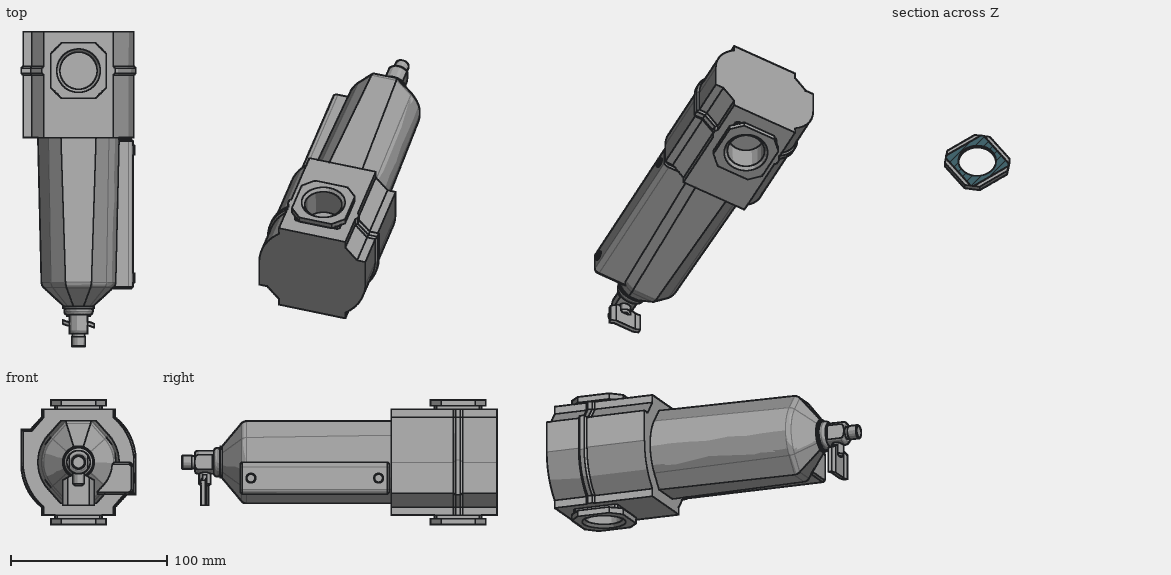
import cadquery as cq
import math


HEAD_LENGTH = 67.8
HEAD_HALF_HEIGHT = 34.0
BLOCK_HALF_WIDTH = 22.2
SHOULDER_Z = 28.9
EAR_HALF_WIDTH = 35.5
EAR_INNER_X = 30.0
EAR_Z = 19.8

BAND_RISE = 1.2
BAND_BASE_WIDTH = 5.9
BAND_TOP_WIDTH = 3.0
BAND_ARC_DROP = 1.5

PORT_Y = 42.8
PORT_TOP_Z = 40.0
FLANGE_WIDTH = 35.5
FLANGE_THICKNESS = 3.8
FLANGE_CORNER = 6.9
NECK_WIDTH = 30.3
NECK_CORNER = 1.5
BORE_RADIUS = 12.0
BORE_DEPTH = 20.2
BORE_CHAMFER = 2.0

BOWL_HALF_HEIGHT = 26.5
BOWL_TOP_RADIUS = 26.0
BOWL_LOW_RADIUS = 23.8
FACET_ANGLE = 42.0
SHELL_END_Y = -94.7
CONE_END_Y = -108.2
CONE_END_HALF_HEIGHT = 10.3
CORNER_FILLET = 4.6
RIM_TOLERANCE = 0.2
LIP_RADIUS = 10.0
LIP_LENGTH = 1.2
BOWL_END_Y = CONE_END_Y - LIP_LENGTH

GAUGE_ROOT_X = 8.0
GAUGE_OUTER_X = 35.0
GAUGE_START_Y = -1.2
GAUGE_LENGTH = 95.5
GAUGE_HEIGHT = 20.4
GAUGE_CORNER_FILLET = 3.0
GAUGE_END_CHAMFER = 1.2
SCREW_RADIUS = 3.0
SCREW_HEIGHT = 1.2
SCREW_CHAMFER = 0.5
SCREW_INSET = 6.9

GROOVE_RADIUS = 8.3
GROOVE_LENGTH = 0.5
RING_RADIUS = 9.3
RING_STRAIGHT = 1.5
RING_LENGTH = 3.8
BARREL_RADIUS = 7.5
BARREL_END_Y = -125.8
BARREL_FILLET = 2.0
FLAT_DISTANCE = 5.9
FLAT_START_Y = -114.5
STEM_RADIUS = 4.0
NOZZLE_RADIUS = 4.5
NOZZLE_START_Y = -127.5
NOZZLE_CHAMFER = 0.6
TOTAL_LENGTH = 202.0
TIP_Y = HEAD_LENGTH - TOTAL_LENGTH

LEVER_Y = -119.3
PEG_RADIUS = 3.8
PEG_BOTTOM_Z = -15.1
PEG_CHAMFER = 1.5
PLATE_THICKNESS = 2.6
PLATE_HALF_WIDTH = 10.0
PLATE_BEND_X = 6.9
WING_SHIFT = 1.2
PLATE_BOTTOM_Z = -27.7
PLATE_CORNER_Z = -11.5
PLATE_SHOULDER_X = 4.0
PLATE_SHOULDER_Z = -8.0


def xz_plane(y):
    """Plane across the bowl axis at y: local x is X, local y is Z, extrusion goes toward -Y."""
    return cq.Workplane("XZ", origin=(0, y, 0))


def head_outline(sketch, rise, arc_start_z):
    """Outline of the head, the same after half a turn, with its sides raised by rise."""
    block_x = BLOCK_HALF_WIDTH + rise
    ear_x = EAR_HALF_WIDTH + rise
    ear_inner_x = EAR_INNER_X + rise / 2
    ear_z = EAR_Z + rise
    arc_width = ear_x - block_x
    arc_height = SHOULDER_Z - arc_start_z
    arc_radius = (arc_width**2 + arc_height**2) / (2 * arc_width)
    half_sweep = math.asin(arc_height / arc_radius) / 2
    mid_x = ear_x - arc_radius * (1 - math.cos(half_sweep))
    mid_z = arc_start_z + arc_radius * math.sin(half_sweep)
    sketch = sketch.moveTo(block_x, HEAD_HALF_HEIGHT)
    for side in (1, -1):
        sketch = (
            sketch.lineTo(-side * block_x, side * HEAD_HALF_HEIGHT)
            .lineTo(-side * block_x, side * SHOULDER_Z)
            .lineTo(-side * ear_inner_x, side * ear_z)
            .lineTo(-side * ear_x, side * ear_z)
            .lineTo(-side * ear_x, -side * arc_start_z)
            .threePointArc((-side * mid_x, -side * mid_z), (-side * block_x, -side * SHOULDER_Z))
        )
        if side == 1:
            sketch = sketch.lineTo(-block_x, -HEAD_HALF_HEIGHT)
    return sketch.close()


def make_band():
    """Raised band with sloping flanks, at the height of the ports."""
    flank = (BAND_BASE_WIDTH - BAND_TOP_WIDTH) / 2
    back = xz_plane(PORT_Y + BAND_BASE_WIDTH / 2)
    back_flank = head_outline(back, 0, 0).workplane(offset=flank)
    back_flank = head_outline(back_flank, BAND_RISE, BAND_ARC_DROP).loft(ruled=True)
    crest = xz_plane(PORT_Y + BAND_TOP_WIDTH / 2)
    crest = head_outline(crest, BAND_RISE, BAND_ARC_DROP).extrude(BAND_TOP_WIDTH)
    front = xz_plane(PORT_Y - BAND_TOP_WIDTH / 2)
    front_flank = head_outline(front, BAND_RISE, BAND_ARC_DROP).workplane(offset=flank)
    front_flank = head_outline(front_flank, 0, 0).loft(ruled=True)
    return back_flank.union(crest).union(front_flank)


def square_block(width, corner, bottom_z, top_z):
    """Square block with cut corners, centred on the port axis."""
    return (
        cq.Workplane("XY", origin=(0, PORT_Y, bottom_z))
        .rect(width, width)
        .extrude(top_z - bottom_z)
        .edges("|Z")
        .chamfer(corner)
    )


def make_port():
    """Neck and flange of the upper port."""
    flange_z = PORT_TOP_Z - FLANGE_THICKNESS
    flange = square_block(FLANGE_WIDTH, FLANGE_CORNER, flange_z, PORT_TOP_Z)
    return square_block(NECK_WIDTH, NECK_CORNER, HEAD_HALF_HEIGHT, flange_z).union(flange)


def make_port_bore():
    """Blind bore of the upper port, chamfered at its mouth."""
    mouth = cq.Workplane("XY", origin=(0, PORT_Y, PORT_TOP_Z))
    countersink = (
        mouth.circle(BORE_RADIUS + BORE_CHAMFER)
        .workplane(offset=-BORE_CHAMFER)
        .circle(BORE_RADIUS)
        .loft()
    )
    return mouth.circle(BORE_RADIUS).extrude(-BORE_DEPTH).union(countersink)


def make_head():
    head = head_outline(xz_plane(HEAD_LENGTH), 0, 0).extrude(HEAD_LENGTH).union(make_band())
    for turn in (0, 180):
        head = head.union(make_port().rotate((0, 0, 0), (0, 1, 0), turn))
        head = head.cut(make_port_bore().rotate((0, 0, 0), (0, 1, 0), turn))
    return head


def bowl_outline(sketch, radius, half_height):
    """Arcs on both sides, flats at top and bottom, and facets tangent to the arcs."""
    angle = math.radians(FACET_ANGLE)
    arc_x = radius * math.cos(angle)
    arc_z = radius * math.sin(angle)
    flat_x = arc_x - (half_height - arc_z) * math.tan(angle)
    return (
        sketch.moveTo(flat_x, half_height)
        .lineTo(-flat_x, half_height)
        .lineTo(-arc_x, arc_z)
        .threePointArc((-radius, 0), (-arc_x, -arc_z))
        .lineTo(-flat_x, -half_height)
        .lineTo(flat_x, -half_height)
        .lineTo(arc_x, -arc_z)
        .threePointArc((radius, 0), (arc_x, arc_z))
        .close()
    )


def make_gauge():
    """Sight gauge with a screw head near each end."""
    gauge = (
        xz_plane(GAUGE_START_Y)
        .moveTo(GAUGE_ROOT_X, -GAUGE_HEIGHT)
        .lineTo(GAUGE_OUTER_X, -GAUGE_HEIGHT)
        .lineTo(GAUGE_OUTER_X, 0)
        .lineTo(GAUGE_ROOT_X, 0)
        .close()
        .extrude(GAUGE_LENGTH)
        .edges("|Y and >X")
        .fillet(GAUGE_CORNER_FILLET)
        .faces("<Y or >Y")
        .chamfer(GAUGE_END_CHAMFER)
    )
    first_screw_y = GAUGE_START_Y - SCREW_INSET
    last_screw_y = GAUGE_START_Y - GAUGE_LENGTH + SCREW_INSET
    for screw_y in (first_screw_y, last_screw_y):
        screw = (
            cq.Workplane("YZ", origin=(GAUGE_OUTER_X, screw_y, -GAUGE_HEIGHT / 2))
            .circle(SCREW_RADIUS)
            .extrude(SCREW_HEIGHT)
            .faces(">X")
            .chamfer(SCREW_CHAMFER)
        )
        gauge = gauge.union(screw)
    return gauge


def make_bowl():
    shell = bowl_outline(xz_plane(0), BOWL_TOP_RADIUS, BOWL_HALF_HEIGHT).workplane(offset=-SHELL_END_Y)
    shell = bowl_outline(shell, BOWL_LOW_RADIUS, BOWL_HALF_HEIGHT).loft(ruled=True)
    cone_scale = CONE_END_HALF_HEIGHT / BOWL_HALF_HEIGHT
    cone = bowl_outline(xz_plane(SHELL_END_Y), BOWL_LOW_RADIUS, BOWL_HALF_HEIGHT)
    cone = cone.workplane(offset=SHELL_END_Y - CONE_END_Y)
    cone = bowl_outline(cone, BOWL_LOW_RADIUS * cone_scale, CONE_END_HALF_HEIGHT).loft(ruled=True)
    reach = 2 * BOWL_TOP_RADIUS
    rim = cq.selectors.BoxSelector(
        (-reach, SHELL_END_Y - RIM_TOLERANCE, -reach),
        (reach, SHELL_END_Y + RIM_TOLERANCE, reach),
    )
    bowl = shell.union(cone).edges(rim).fillet(CORNER_FILLET)
    lip = xz_plane(CONE_END_Y).circle(LIP_RADIUS).extrude(LIP_LENGTH)
    return bowl.union(lip).union(make_gauge())


def make_barrel():
    """Turned body of the drain, with two wrench flats."""
    ring_start = BOWL_END_Y - GROOVE_LENGTH
    ring_edge = ring_start - RING_STRAIGHT
    ring_end = ring_start - RING_LENGTH
    barrel = (
        cq.Workplane("XY")
        .moveTo(0, BOWL_END_Y)
        .lineTo(GROOVE_RADIUS, BOWL_END_Y)
        .lineTo(GROOVE_RADIUS, ring_start)
        .lineTo(RING_RADIUS, ring_start)
        .lineTo(RING_RADIUS, ring_edge)
        .tangentArcPoint((BARREL_RADIUS, ring_end), relative=False)
        .lineTo(BARREL_RADIUS, BARREL_END_Y + BARREL_FILLET)
        .tangentArcPoint((BARREL_RADIUS - BARREL_FILLET, BARREL_END_Y), relative=False)
        .lineTo(STEM_RADIUS, BARREL_END_Y)
        .lineTo(STEM_RADIUS, NOZZLE_START_Y)
        .lineTo(NOZZLE_RADIUS, NOZZLE_START_Y)
        .lineTo(NOZZLE_RADIUS, TIP_Y + NOZZLE_CHAMFER)
        .lineTo(NOZZLE_RADIUS - NOZZLE_CHAMFER, TIP_Y)
        .lineTo(0, TIP_Y)
        .close()
        .revolve(360, (0, 0, 0), (0, 1, 0))
    )
    flat_cutter = (
        cq.Workplane("XY", origin=(FLAT_DISTANCE, BARREL_END_Y, 0))
        .box(
            BARREL_RADIUS,
            FLAT_START_Y - BARREL_END_Y,
            2 * BARREL_RADIUS,
            centered=(False, False, True),
        )
    )
    return barrel.cut(flat_cutter).cut(flat_cutter.mirror("YZ"))


def make_lever():
    """Peg below the barrel that carries a plate with two bent wings."""
    peg = (
        cq.Workplane("XY", origin=(0, LEVER_Y, 0))
        .circle(PEG_RADIUS)
        .extrude(PEG_BOTTOM_Z)
        .faces("<Z")
        .chamfer(PEG_CHAMFER)
    )
    half = PLATE_THICKNESS / 2
    plate = (
        cq.Workplane("XY", origin=(0, LEVER_Y, PLATE_BOTTOM_Z))
        .polyline([
            (-PLATE_HALF_WIDTH, WING_SHIFT + half),
            (-PLATE_BEND_X, half),
            (PLATE_BEND_X, half),
            (PLATE_HALF_WIDTH, half - WING_SHIFT),
            (PLATE_HALF_WIDTH, -half - WING_SHIFT),
            (PLATE_BEND_X, -half),
            (-PLATE_BEND_X, -half),
            (-PLATE_HALF_WIDTH, WING_SHIFT - half),
        ])
        .close()
        .extrude(-PLATE_BOTTOM_Z)
    )
    face_outline = (
        xz_plane(LEVER_Y)
        .polyline([
            (-PLATE_HALF_WIDTH, PLATE_BOTTOM_Z),
            (-PLATE_HALF_WIDTH, PLATE_CORNER_Z),
            (-PLATE_SHOULDER_X, PLATE_SHOULDER_Z),
            (PLATE_SHOULDER_X, PLATE_SHOULDER_Z),
            (PLATE_HALF_WIDTH, PLATE_CORNER_Z),
            (PLATE_HALF_WIDTH, PLATE_BOTTOM_Z),
        ])
        .close()
        .extrude(PLATE_THICKNESS + WING_SHIFT, both=True)
    )
    return peg.union(plate.intersect(face_outline))


def make_drain():
    return make_barrel().union(make_lever())


head = make_head()
bowl = make_bowl()
drain = make_drain()
result = cq.Compound.makeCompound([head.val(), bowl.val(), drain.val()])